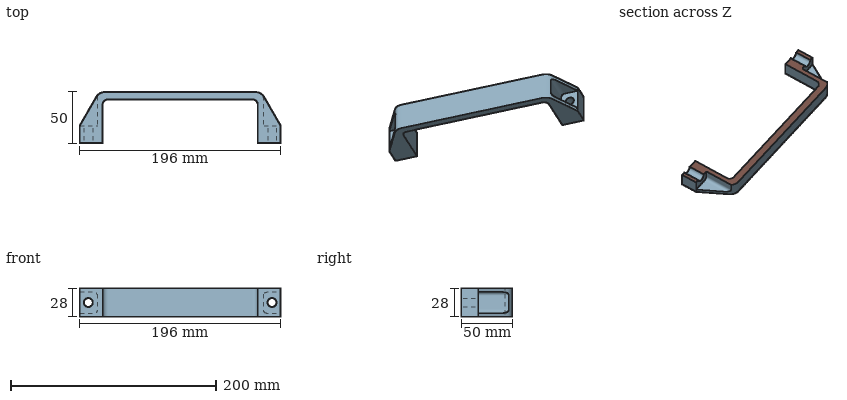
import cadquery as cq
import math

length = 196.0
depth = 50.0
height = 28.0

grip_thickness = 7.5
leg_width = 22.5
shoulder_depth = 33.0
slope_angle = 60.0
outer_radius = 10.0
inner_radius = 5.0

hole_diameter = 8.5
hole_spacing = 179.0
pocket_floor_inset = 17.25
pocket_height = 20.5
pocket_corner_radius = 3.5

half_length = length / 2
inner_half_span = half_length - leg_width
slope_run = shoulder_depth / math.tan(math.radians(slope_angle))


def edges_near_corners(half_span, y):
    """Selector for the edges at a mirrored pair of profile corners."""
    margin = 1.0
    return cq.selectors.BoxSelector(
        (-half_span - margin, y - margin, -margin),
        (half_span + margin, y + margin, margin),
    )


def make_body():
    """Bracket-shaped profile, extruded symmetrically about z = 0."""
    corner_half_span = half_length - slope_run
    body = (
        cq.Workplane("XY")
        .polyline([
            (-half_length, -depth),
            (-half_length, -shoulder_depth),
            (-corner_half_span, 0),
            (corner_half_span, 0),
            (half_length, -shoulder_depth),
            (half_length, -depth),
            (inner_half_span, -depth),
            (inner_half_span, -grip_thickness),
            (-inner_half_span, -grip_thickness),
            (-inner_half_span, -depth),
        ])
        .close()
        .extrude(height / 2, both=True)
    )

    outer_corners = edges_near_corners(corner_half_span, 0)
    body = body.edges("|Z").edges(outer_corners).fillet(outer_radius)
    inner_corners = edges_near_corners(inner_half_span, -grip_thickness)
    return body.edges("|Z").edges(inner_corners).fillet(inner_radius)


def make_pocket(side):
    """Screw pocket sunk into the sloped face, with rounded edges along its floor."""
    pocket = (
        cq.Workplane("XY")
        .box(pocket_floor_inset, shoulder_depth, pocket_height)
        .edges("|Y and >X")
        .fillet(pocket_corner_radius)
        .translate((pocket_floor_inset / 2 - half_length, -shoulder_depth / 2, 0))
    )
    return pocket if side < 0 else pocket.mirror("YZ")


def make_hole(side):
    """Screw hole running along Y from the foot into the pocket."""
    return (
        cq.Workplane("XZ", origin=(side * hole_spacing / 2, 0, 0))
        .circle(hole_diameter / 2)
        .extrude(depth)
    )


result = make_body()
for side in (-1, 1):
    result = result.cut(make_pocket(side)).cut(make_hole(side))